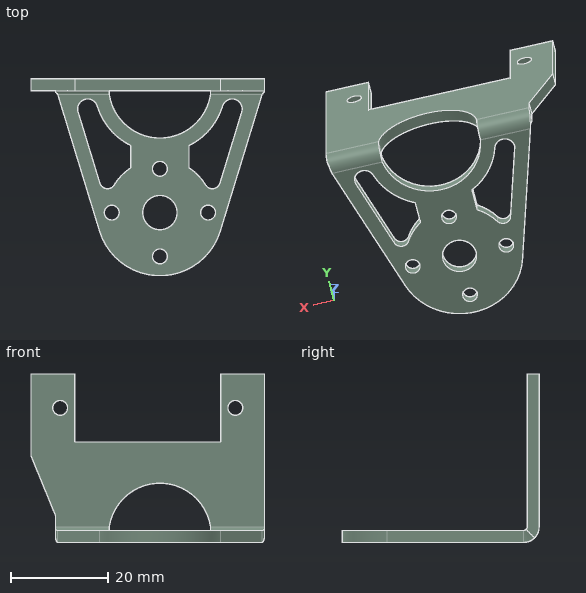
import math

import cadquery as cq


thickness = 2.5
inner_bend_radius = 0.75
neutral_factor = 0.5
outer_bend_radius = inner_bend_radius + thickness
half_bend_length = math.pi / 4 * (inner_bend_radius + neutral_factor * thickness)

nose_radius = 13.0
shaft_to_back = 27.52
shaft_hole_diameter = 7.0
screw_hole_diameter = 3.0
screw_offset_x = 9.9
screw_offset_y = 9.0

height = 34.68
half_width = 21.5
left_overhang = 5.0
post_width = 9.0
notch_depth = 14.0
post_hole_from_side = 6.0
post_hole_from_top = 7.0
taper_bottom_z = 5.6
taper_top_z = 17.8

opening_radius = 10.5

rib_width = 3.0
spine_half_width = 6.0
hub_radius = 11.0
window_tip_radius = 1.6

back_y = shaft_to_back
bend_y = back_y - outer_bend_radius
bend_z = outer_bend_radius
left_x = -half_width - left_overhang
overall_width = half_width - left_x
bend_line_y = bend_y + half_bend_length
opening_base_y = bend_line_y
opening_upright_z = bend_z - half_bend_length

corner_distance = math.hypot(half_width, bend_line_y)
side_angle = math.acos(nose_radius / corner_distance) - math.atan2(bend_line_y, half_width)
side_normal = (math.cos(side_angle), -math.sin(side_angle))
side_direction = (math.sin(side_angle), math.cos(side_angle))
base_end_half_width = half_width - half_bend_length * math.tan(side_angle)


def side_point(offset, along):
    """Point at a given distance from the shaft across and along the right side."""
    x = offset * side_normal[0] + along * side_direction[0]
    y = offset * side_normal[1] + along * side_direction[1]
    return (x, y)


def toward(start, end, distance):
    """Point at a given distance from start on the ray through end."""
    length = math.dist(start, end)
    x = start[0] + (end[0] - start[0]) * distance / length
    y = start[1] + (end[1] - start[1]) * distance / length
    return (x, y)


def arc_middle(center, radius, start, end):
    """Middle point of the shorter arc between two points on a circle."""
    chord_middle = ((start[0] + end[0]) / 2, (start[1] + end[1]) / 2)
    return toward(center, chord_middle, radius)


def make_base():
    tangent_x, tangent_y = side_point(nose_radius, 0)
    return (
        cq.Workplane("XY")
        .moveTo(-base_end_half_width, bend_y)
        .lineTo(-tangent_x, tangent_y)
        .threePointArc((0, -nose_radius), (tangent_x, tangent_y))
        .lineTo(base_end_half_width, bend_y)
        .close()
        .extrude(thickness)
    )


def make_upright():
    notch_left = left_x + post_width
    notch_right = half_width - post_width
    notch_z = height - notch_depth
    outline = [
        (-half_width, bend_z),
        (half_width, bend_z),
        (half_width, height),
        (notch_right, height),
        (notch_right, notch_z),
        (notch_left, notch_z),
        (notch_left, height),
        (left_x, height),
        (left_x, taper_top_z),
        (-half_width, taper_bottom_z),
    ]
    hole_z = height - post_hole_from_top
    hole_points = [(left_x + post_hole_from_side, hole_z), (half_width - post_hole_from_side, hole_z)]
    plate = cq.Workplane("XZ", origin=(0, back_y, 0)).polyline(outline).close().extrude(thickness)
    holes = (
        cq.Workplane("XZ", origin=(0, back_y, 0))
        .pushPoints(hole_points)
        .circle(screw_hole_diameter / 2)
        .extrude(thickness)
    )
    return plate.cut(holes)


def make_bend_trim():
    """Wedge that carries the right side's slope around the lower half of the bend.

    A 45 degree sector twists about the bend axis as it moves outward in X,
    sweeping from the end of the base to the middle of the bend.
    """
    reach = 2 * outer_bend_radius
    diagonal = reach * math.sqrt(0.5)
    twist_degrees = 45
    return (
        cq.Workplane("YZ", origin=(base_end_half_width, bend_y, bend_z))
        .lineTo(0, -reach)
        .lineTo(-diagonal, -diagonal)
        .close()
        .twistExtrude(half_width - base_end_half_width, twist_degrees)
    )


def make_bend():
    diagonal_inner = inner_bend_radius * math.sqrt(0.5)
    diagonal_outer = outer_bend_radius * math.sqrt(0.5)
    bend = (
        cq.Workplane("YZ", origin=(-half_width, bend_y, bend_z))
        .moveTo(0, -outer_bend_radius)
        .threePointArc((diagonal_outer, -diagonal_outer), (outer_bend_radius, 0))
        .lineTo(inner_bend_radius, 0)
        .threePointArc((diagonal_inner, -diagonal_inner), (0, -inner_bend_radius))
        .close()
        .extrude(2 * half_width)
    )
    trim = make_bend_trim()
    return bend.cut(trim).cut(trim.mirror("YZ"))


def make_opening():
    """Circle of the flat blank, folded: one disc per flange and a slot through the bend."""
    bend_half_width = math.sqrt(opening_radius**2 - half_bend_length**2)
    before_bend = cq.Workplane("XY").box(2 * overall_width, 2 * bend_y, 2 * height)
    base_disc = (
        cq.Workplane("XY")
        .center(0, opening_base_y)
        .circle(opening_radius)
        .extrude(thickness)
        .intersect(before_bend)
    )
    above_bend = cq.Workplane("XY", origin=(0, 0, bend_z)).box(
        2 * overall_width, 4 * back_y, height, centered=(True, True, False)
    )
    upright_disc = (
        cq.Workplane("XZ", origin=(0, back_y, 0))
        .center(0, opening_upright_z)
        .circle(opening_radius)
        .extrude(thickness)
        .intersect(above_bend)
    )
    bend_slot = cq.Workplane("XY", origin=(0, bend_y, 0)).box(
        2 * bend_half_width, outer_bend_radius, outer_bend_radius, centered=(True, False, False)
    )
    return base_disc.union(upright_disc).union(bend_slot)


def make_window():
    """Right lightening window, bounded by the side rib, opening rib, spine and hub."""
    hub_center = (0, 0)
    opening_center = (0, opening_base_y)
    side_offset = nose_radius - rib_width
    rim_radius = opening_radius + rib_width

    opening_offset = -opening_base_y * math.sin(side_angle)
    top_along = opening_base_y * math.cos(side_angle)
    top_on_side = side_point(side_offset, top_along)
    top_on_rim = side_point(opening_offset + rim_radius, top_along)
    top_radius = math.dist(top_on_side, top_on_rim) / 2
    top_middle = side_point((side_offset + opening_offset + rim_radius) / 2, top_along + top_radius)

    tip_offset = side_offset - window_tip_radius
    tip_along = math.sqrt((hub_radius + window_tip_radius) ** 2 - tip_offset**2)
    tip_center = side_point(tip_offset, tip_along)
    tip_on_side = side_point(side_offset, tip_along)
    tip_on_hub = toward(hub_center, tip_center, hub_radius)
    tip_middle = arc_middle(tip_center, window_tip_radius, tip_on_side, tip_on_hub)

    spine_top = (spine_half_width, opening_base_y - math.sqrt(rim_radius**2 - spine_half_width**2))
    spine_bottom = (spine_half_width, math.sqrt(hub_radius**2 - spine_half_width**2))
    return (
        cq.Workplane("XY")
        .moveTo(*tip_on_side)
        .lineTo(*top_on_side)
        .threePointArc(top_middle, top_on_rim)
        .threePointArc(arc_middle(opening_center, rim_radius, top_on_rim, spine_top), spine_top)
        .lineTo(*spine_bottom)
        .threePointArc(arc_middle(hub_center, hub_radius, spine_bottom, tip_on_hub), tip_on_hub)
        .threePointArc(tip_middle, tip_on_side)
        .close()
        .extrude(thickness)
    )


def make_motor_holes():
    screw_points = [(screw_offset_x, 0), (-screw_offset_x, 0), (0, screw_offset_y), (0, -screw_offset_y)]
    screws = cq.Workplane("XY").pushPoints(screw_points).circle(screw_hole_diameter / 2).extrude(thickness)
    shaft = cq.Workplane("XY").circle(shaft_hole_diameter / 2).extrude(thickness)
    return screws.union(shaft)


window = make_window()
bracket = make_base().union(make_bend()).union(make_upright())
bracket = bracket.cut(make_opening()).cut(make_motor_holes())
result = bracket.cut(window).cut(window.mirror("YZ"))